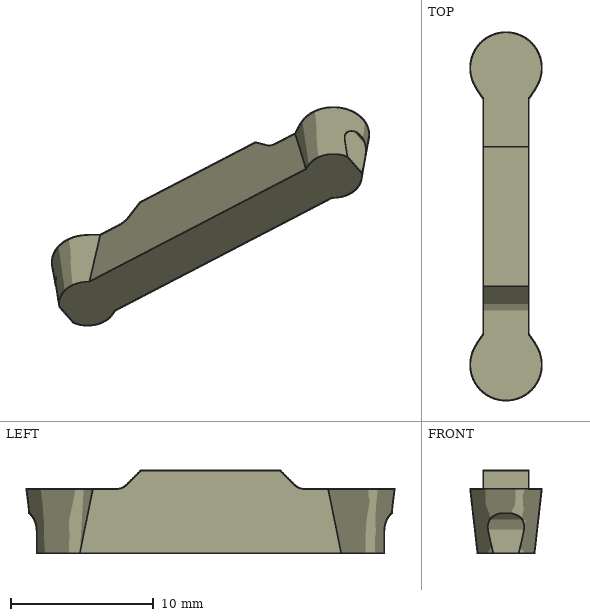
import cadquery as cq
import math

length = 25.77
height = 5.8
waist_width = 3.2

head_height = 4.5
head_radius = 2.513
head_base_radius = 1.997
head_taper = math.degrees(math.atan((head_radius - head_base_radius) / head_height))
head_center = length / 2 - head_radius

arc_end_distance = 3.6
neck_half_width = 2.04
neck_distance = 4.02
waist_distance = 4.66

ridge_length = 9.75
ramp_angle = 45.0
ramp_fillet = 1.03

relief_depth = 0.72
relief_flat_height = 1.62
relief_radius = 1.65
relief_arc_angle = 45.0


def make_body():
    """Straight bar with a ridge whose ramps blend into the lower top faces."""
    ridge_half = ridge_length / 2
    ramp_run = (height - head_height) / math.tan(math.radians(ramp_angle))
    ramp_foot = ridge_half + ramp_run
    body = (
        cq.Workplane("YZ")
        .moveTo(-head_center, 0)
        .lineTo(head_center, 0)
        .lineTo(head_center, head_height)
        .lineTo(ramp_foot, head_height)
        .lineTo(ridge_half, height)
        .lineTo(-ridge_half, height)
        .lineTo(-ramp_foot, head_height)
        .lineTo(-head_center, head_height)
        .close()
        .extrude(waist_width / 2, both=True)
    )
    margin = 0.03
    foot_edges = cq.selectors.BoxSelector(
        (-waist_width, -ramp_foot - margin, head_height - margin),
        (waist_width, ramp_foot + margin, head_height + margin),
    )
    return body.edges("|X").edges(foot_edges).fillet(ramp_fillet)


def make_head():
    """Head at the -Y end, narrowing downwards, with its neck run into the bar."""
    end = -length / 2
    arc_end_y = end + arc_end_distance
    arc_end_x = math.sqrt(head_radius**2 - (arc_end_y + head_center) ** 2)
    neck_y = end + neck_distance
    neck_slope = (waist_distance - neck_distance) / (neck_half_width - waist_width / 2)
    apex_y = neck_y + neck_half_width * neck_slope
    return (
        cq.Workplane("XY", origin=(0, 0, head_height))
        .moveTo(-arc_end_x, arc_end_y)
        .threePointArc((0, end), (arc_end_x, arc_end_y))
        .lineTo(neck_half_width, neck_y)
        .lineTo(0, apex_y)
        .lineTo(-neck_half_width, neck_y)
        .close()
        .extrude(-head_height, taper=head_taper)
    )


def make_relief():
    """Cutter leaving an upright flat that curves outwards above."""
    flat_y = -length / 2 + relief_depth
    arc_center_y = flat_y - relief_radius

    def arc_point(angle):
        turn = math.radians(angle)
        return (
            arc_center_y + relief_radius * math.cos(turn),
            relief_flat_height + relief_radius * math.sin(turn),
        )

    arc_end = arc_point(relief_arc_angle)
    return (
        cq.Workplane("YZ")
        .moveTo(flat_y, 0)
        .lineTo(flat_y, relief_flat_height)
        .threePointArc(arc_point(relief_arc_angle / 2), arc_end)
        .lineTo(arc_center_y, arc_end[1])
        .lineTo(arc_center_y, 0)
        .close()
        .extrude(head_radius, both=True)
    )


end_head = make_head().cut(make_relief())
result = make_body().union(end_head).union(end_head.mirror("XZ"))